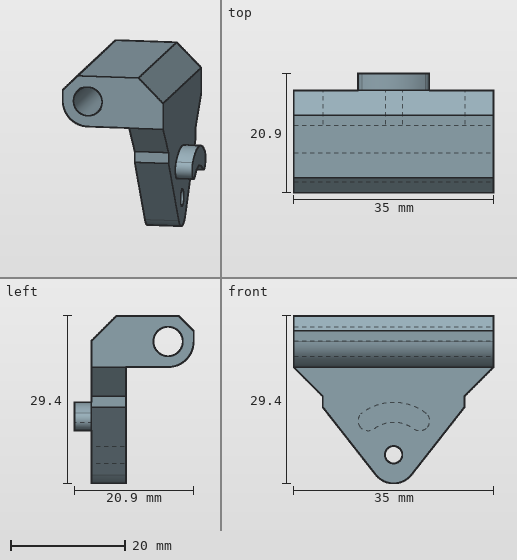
import cadquery as cq
import math

bar_length = 35.0
bar_depth = 17.92
bar_height = 9.0
nose_radius = bar_height / 2
front_chamfer = nose_radius * (2 - math.sqrt(2))
back_chamfer = 4.38
hinge_hole_diameter = 5.1

plate_thickness = 6.05
shoulder_half_width = 12.42
shoulder_drop = bar_length / 2 - shoulder_half_width
shoulder_height = 1.92
plate_drop = 20.37
tip_radius = 4.0
pivot_diameter = 3.0
pivot_z = -15.33

key_length = 2.98
key_mid_radius = 7.5
key_half_width = 1.75
key_half_angle = math.radians(37)


def make_bar():
    profile = (
        cq.Workplane("YZ", origin=(-bar_length / 2, 0, 0))
        .moveTo(nose_radius, 0)
        .lineTo(bar_depth, 0)
        .lineTo(bar_depth, bar_height - back_chamfer)
        .lineTo(bar_depth - back_chamfer, bar_height)
        .lineTo(front_chamfer, bar_height)
        .lineTo(0, bar_height - front_chamfer)
        .lineTo(0, nose_radius)
        .radiusArc((nose_radius, 0), -nose_radius)
        .close()
    )
    return profile.extrude(bar_length)


def make_plate():
    shoulder_bottom = -shoulder_drop - shoulder_height
    tip_center_z = -plate_drop + tip_radius

    rise = shoulder_bottom - tip_center_z
    corner_distance = math.hypot(shoulder_half_width, rise)
    tangent_angle = math.atan2(rise, shoulder_half_width) - math.acos(tip_radius / corner_distance)
    tangent_x = tip_radius * math.cos(tangent_angle)
    tangent_z = tip_center_z + tip_radius * math.sin(tangent_angle)

    profile = (
        cq.Workplane("XZ", origin=(0, bar_depth, 0))
        .moveTo(-bar_length / 2, 0)
        .lineTo(bar_length / 2, 0)
        .lineTo(shoulder_half_width, -shoulder_drop)
        .lineTo(shoulder_half_width, shoulder_bottom)
        .lineTo(tangent_x, tangent_z)
        .threePointArc((0, -plate_drop), (-tangent_x, tangent_z))
        .lineTo(-shoulder_half_width, shoulder_bottom)
        .lineTo(-shoulder_half_width, -shoulder_drop)
        .close()
    )
    return profile.extrude(plate_thickness)


def key_point(radius, angle):
    """Point at a radius about the pivot, with the angle taken from straight up."""
    return (radius * math.sin(angle), pivot_z + radius * math.cos(angle))


def make_key():
    outer = key_mid_radius + key_half_width
    inner = key_mid_radius - key_half_width
    profile = (
        cq.Workplane("XZ", origin=(0, bar_depth, 0))
        .moveTo(*key_point(outer, -key_half_angle))
        .threePointArc(key_point(outer, 0), key_point(outer, key_half_angle))
        .radiusArc(key_point(inner, key_half_angle), key_half_width)
        .threePointArc(key_point(inner, 0), key_point(inner, -key_half_angle))
        .radiusArc(key_point(outer, -key_half_angle), key_half_width)
        .close()
    )
    return profile.extrude(-key_length)


hinge_hole = (
    cq.Workplane("YZ", origin=(-bar_length / 2, 0, 0))
    .center(nose_radius, nose_radius)
    .circle(hinge_hole_diameter / 2)
    .extrude(bar_length)
)
pivot_hole = (
    cq.Workplane("XZ", origin=(0, bar_depth, 0))
    .center(0, pivot_z)
    .circle(pivot_diameter / 2)
    .extrude(plate_thickness)
)

body = make_bar().union(make_plate()).cut(hinge_hole).cut(pivot_hole)
result = body.union(make_key())